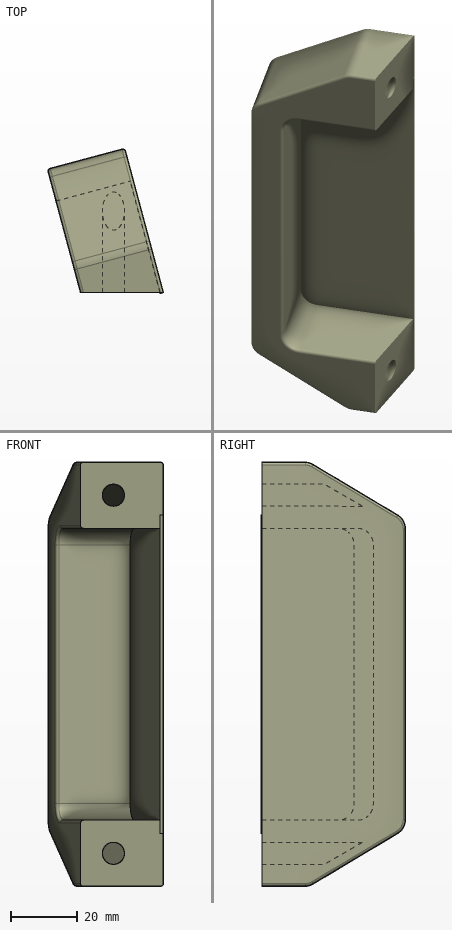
import cadquery as cq
import math

length = 128.0
width = 24.2
reach = 45.0
lean_angle = 15.0
shoulder_reach = 15.0
slope_angle = 30.0
bend_radius = 5.0
edge_radius = 0.9

recess_length = 88.0
recess_reach = 35.1
panel_thickness = 1.0
panel_length = 96.0

hole_diameter = 6.7
hole_spacing = 108.0
hole_inset = 15.1
hole_roof = 7.7

trim_margin = 3.8
base_stock = width * math.tan(math.radians(lean_angle)) + trim_margin
slope_tan = math.tan(math.radians(slope_angle))


def lean(shape):
    """Lean a shape about the +X corner line of the mounting face."""
    return shape.rotate((0, 0, 0), (0, 0, 1), lean_angle)


def handle_blank():
    """Block with sloped ends and rounded bends, reaching below the mounting plane."""
    half = length / 2
    crown_half = half - (reach - shoulder_reach) * slope_tan
    profile = [
        (-base_stock, -half),
        (shoulder_reach, -half),
        (reach, -crown_half),
        (reach, crown_half),
        (shoulder_reach, half),
        (-base_stock, half),
    ]
    blank = cq.Workplane("YZ").polyline(profile).close().extrude(-width)
    bends = cq.selectors.BoxSelector(
        (-width, 0, -length), (0, 2 * reach, length)
    )
    return blank.edges("|X").edges(bends).fillet(bend_radius)


def recess():
    """Finger recess, open at the mounting plane and on the -X side."""
    return (
        cq.Workplane("XY")
        .box(width, recess_reach + 2 * base_stock, recess_length)
        .translate((-panel_thickness - width / 2, recess_reach / 2 - base_stock, 0))
        .edges("|X and >Y")
        .fillet(bend_radius)
    )


def panel():
    """Thin panel with a square-cut lower edge."""
    return cq.Workplane("XY").box(
        panel_thickness, recess_reach, panel_length
    ).translate((-panel_thickness / 2, recess_reach / 2, 0))


def below_mounting_plane():
    """Stock to remove so that the base is flat at Y = 0."""
    size = 2 * length
    return cq.Workplane("XY").box(size, size, size).translate((0, -size / 2, 0))


def mounting_hole(side):
    """Blind hole whose floor runs parallel to the sloped end on that side (+1 or -1)."""
    center_z = side * hole_spacing / 2
    bore = (
        cq.Workplane("XZ", origin=(-hole_inset, 0, center_z))
        .circle(hole_diameter / 2)
        .extrude(-reach)
    )
    slope_reach = shoulder_reach + (length - hole_spacing) / 2 / slope_tan
    floor_y = slope_reach - hole_roof
    radius = hole_diameter / 2
    floor_rise = side * radius / slope_tan
    keep = (
        cq.Workplane("YZ", origin=(-hole_inset, 0, 0))
        .polyline([
            (0, center_z - radius),
            (floor_y + floor_rise, center_z - radius),
            (floor_y - floor_rise, center_z + radius),
            (0, center_z + radius),
        ])
        .close()
        .extrude(radius, both=True)
    )
    return bore.intersect(keep)


body = handle_blank().cut(recess())
body = body.faces("<X or >X").edges().fillet(edge_radius)
body = lean(body).cut(below_mounting_plane())
result = body.union(lean(panel()))
for side in (-1, 1):
    result = result.cut(mounting_hole(side))